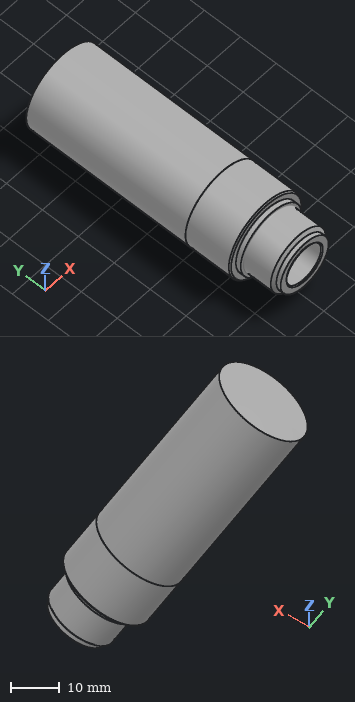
import cadquery as cq

total_length = 69.5
sleeve_diameter = 22.1
base_diameter = 22.0
collar_diameter = 18.4
neck_diameter = 16.7
tip_diameter = 14.6
bore_diameter = 10.5

tip_length = 1.2
neck_taper_length = 0.6
neck_length = 7.6
collar_length = 1.3
base_length = 12.4
dome_height = 2.1

base_chamfer = 0.35
neck_root_fillet = 0.2
bore_chamfer = 0.3

taper_end = tip_length + neck_taper_length
collar_start = taper_end + neck_length
base_start = collar_start + collar_length
sleeve_start = base_start + base_length
dome_start = total_length - dome_height

sleeve_radius = sleeve_diameter / 2
base_radius = base_diameter / 2
collar_radius = collar_diameter / 2
neck_radius = neck_diameter / 2
tip_radius = tip_diameter / 2
bore_radius = bore_diameter / 2

bore_depth = sleeve_start

dome_sphere_radius = (sleeve_radius**2 + dome_height**2) / (2 * dome_height)
dome_mid_radius = sleeve_radius / 2
dome_mid_drop = dome_sphere_radius - (dome_sphere_radius**2 - dome_mid_radius**2) ** 0.5


def revolve_about_y(profile):
    """Spin a closed XY half-profile into a solid of revolution."""
    return profile.close().revolve(360, (0, 0, 0), (0, 1, 0))


def make_body():
    """Solid outside shape of the handle."""
    profile = (
        cq.Workplane("XY")
        .moveTo(0, 0)
        .lineTo(tip_radius, 0)
        .lineTo(tip_radius, tip_length)
        .lineTo(neck_radius, taper_end)
        .lineTo(neck_radius, collar_start - neck_root_fillet)
        .radiusArc((neck_radius + neck_root_fillet, collar_start), neck_root_fillet)
        .lineTo(collar_radius, collar_start)
        .lineTo(collar_radius, base_start)
        .lineTo(base_radius - base_chamfer, base_start)
        .lineTo(base_radius, base_start + base_chamfer)
        .lineTo(base_radius, sleeve_start)
        .lineTo(sleeve_radius, sleeve_start)
        .lineTo(sleeve_radius, dome_start)
        .threePointArc((dome_mid_radius, total_length - dome_mid_drop), (0, total_length))
    )
    return revolve_about_y(profile)


def make_bore():
    """Blind bore with a chamfered mouth."""
    profile = (
        cq.Workplane("XY")
        .moveTo(0, 0)
        .lineTo(bore_radius + bore_chamfer, 0)
        .lineTo(bore_radius, bore_chamfer)
        .lineTo(bore_radius, bore_depth)
        .lineTo(0, bore_depth)
    )
    return revolve_about_y(profile)


result = make_body().cut(make_bore())